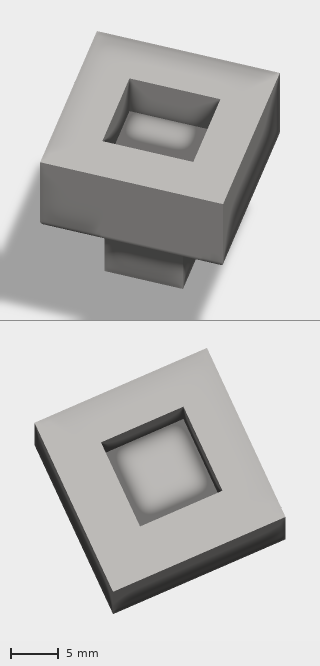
import cadquery as cq

head_x = 20.13
head_y = 19.85
head_height = 10.0
bottom_edge_radius = 1.0

peg_x = 8.64
peg_y = 9.48
peg_length = head_height
peg_left_margin = 5.5
peg_front_margin = 5.05

pocket_x = 10.0
pocket_y = peg_y
pocket_depth = head_height / 2
pocket_left_margin = 5.31
pocket_front_margin = 4.87


def corner_box(size_x, size_y, size_z, corner):
    """Box whose lowest left-front corner sits at the given point."""
    return cq.Workplane("XY").box(size_x, size_y, size_z, centered=False).translate(corner)


head = corner_box(head_x, head_y, head_height, (0, 0, 0))
head = head.faces("<Z").edges().fillet(bottom_edge_radius)

peg = corner_box(
    peg_x, peg_y, peg_length,
    (peg_left_margin, peg_front_margin, -peg_length),
)

pocket = corner_box(
    pocket_x, pocket_y, pocket_depth,
    (pocket_left_margin, pocket_front_margin, head_height - pocket_depth),
)

result = head.union(peg).cut(pocket)